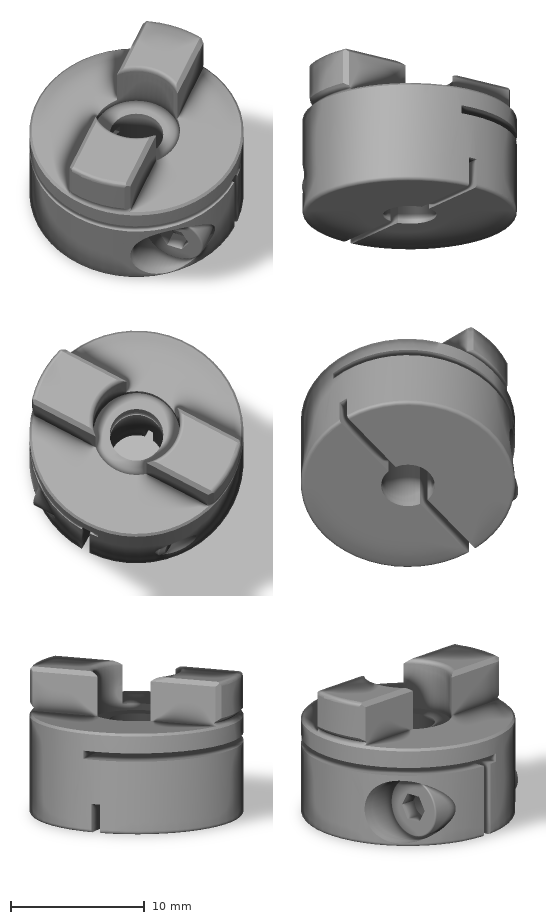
import cadquery as cq
import math

hub_radius = 8.0
hub_height = 7.68
bottom_fillet = 0.25
bore_radius = 2.0
recess_radius = 3.25
recess_depth = 0.5

key_width = 4.86
key_top = 11.0
key_edge = 0.32
corner_bevel_reach = 9.82

groove_depth = 0.37
groove_center_z = 7.87

slot_bottom = 5.58
slot_top = 6.2
slot_end_y = 1.0
slit_width = 0.69
hinge_slit_height = 2.2

screw_x = 5.0
screw_z = 2.74
shank_radius = 1.3
shank_length = 8.0
shank_tip_chamfer = 0.32
head_radius = 2.25
head_length = 2.5
head_edge_fillet = 0.11
head_outer_y = -4.9
head_seat_y = head_outer_y + head_length
counterbore_radius = 2.46
socket_flats = 2.0
socket_depth = 1.25
socket_cone_angle = 120.0


def cylinder(radius, bottom, top):
    """Cylinder about the Z axis between two heights."""
    return cq.Workplane("XY").workplane(offset=bottom).circle(radius).extrude(top - bottom)


def box(x_range, y_range, z_range):
    """Axis-aligned box from its (low, high) range on each axis."""
    size = [high - low for low, high in (x_range, y_range, z_range)]
    corner = (x_range[0], y_range[0], z_range[0])
    return cq.Workplane("XY").box(*size, centered=False).translate(corner)


def screw_cylinder(radius, start_y, length):
    """Cylinder on the screw axis, running toward +Y from start_y."""
    plane = cq.Plane(origin=(screw_x, start_y, screw_z), xDir=(1, 0, 0), normal=(0, 1, 0))
    return cq.Workplane(plane).circle(radius).extrude(length)


def make_drive_key():
    """Chamfered bar trimmed by a ring with rounded rims and by a diamond that bevels the corners."""
    bar = box((-key_width / 2, key_width / 2), (-hub_radius, hub_radius), (hub_height, key_top))
    bar = bar.edges("|Y and >Z").chamfer(key_edge)
    ring = cylinder(hub_radius, hub_height, key_top).cut(cylinder(recess_radius, hub_height, key_top))
    ring = ring.faces(">Z").edges().fillet(key_edge)
    diamond = (
        cq.Workplane("XY")
        .workplane(offset=hub_height)
        .polygon(4, 2 * corner_bevel_reach)
        .extrude(key_top - hub_height)
    )
    return bar.intersect(ring).intersect(diamond)


def make_groove():
    """Ring of V section around the rim, with 45 degree flanks."""
    profile = [
        (hub_radius - groove_depth, groove_center_z),
        (hub_radius, groove_center_z - groove_depth),
        (hub_radius, groove_center_z + groove_depth),
    ]
    return cq.Workplane("XZ").polyline(profile).close().revolve(360, (0, 0, 0), (0, 1, 0))


def make_clamp_cuts():
    """Slot that frees the clamp arm, the gap that the screw closes, and the hinge slit."""
    slot = box((-hub_radius, hub_radius), (-hub_radius, slot_end_y), (slot_bottom, slot_top))
    slit_y = (-slit_width / 2, slit_width / 2)
    clamp_gap = box((0, hub_radius), slit_y, (0, slot_bottom))
    hinge_slit = box((-hub_radius, 0), slit_y, (0, hinge_slit_height))
    return slot.union(clamp_gap).union(hinge_slit)


def make_screw_hole():
    """Shank hole right through the hub with a counterbore for the head."""
    shank_hole = screw_cylinder(shank_radius, -hub_radius, 2 * hub_radius)
    counterbore = screw_cylinder(counterbore_radius, -hub_radius, hub_radius + head_seat_y)
    return shank_hole.union(counterbore)


def make_hub():
    hub = cylinder(hub_radius, 0, hub_height).faces("<Z").edges().fillet(bottom_fillet)
    hub = hub.union(make_drive_key()).cut(make_groove())
    hub = hub.cut(cylinder(recess_radius, hub_height - recess_depth, hub_height))
    hub = hub.cut(cylinder(bore_radius, 0, hub_height))
    return hub.cut(make_clamp_cuts()).cut(make_screw_hole())


def make_socket():
    """Hexagonal socket with a conical drill point at its floor."""
    plane = cq.Plane(origin=(screw_x, head_outer_y, screw_z), xDir=(1, 0, 0), normal=(0, 1, 0))
    across_corners = socket_flats / math.cos(math.radians(30))
    hexagon = cq.Workplane(plane).polygon(6, across_corners).extrude(socket_depth)
    cone_radius = socket_flats / 2
    cone_height = cone_radius / math.tan(math.radians(socket_cone_angle / 2))
    cone_base = cq.Vector(screw_x, head_outer_y + socket_depth, screw_z)
    cone = cq.Solid.makeCone(cone_radius, 0, cone_height, cone_base, cq.Vector(0, 1, 0))
    return hexagon.union(cq.Workplane(cone))


def make_clamp_screw():
    head = screw_cylinder(head_radius, head_outer_y, head_length)
    head = head.faces("<Y").edges().fillet(head_edge_fillet)
    shank = screw_cylinder(shank_radius, head_seat_y, shank_length)
    shank = shank.faces(">Y").edges().chamfer(shank_tip_chamfer)
    return head.union(shank).cut(make_socket())


hub = make_hub()
clamp_screw = make_clamp_screw()

result = cq.Compound.makeCompound([*hub.solids().vals(), *clamp_screw.solids().vals()])